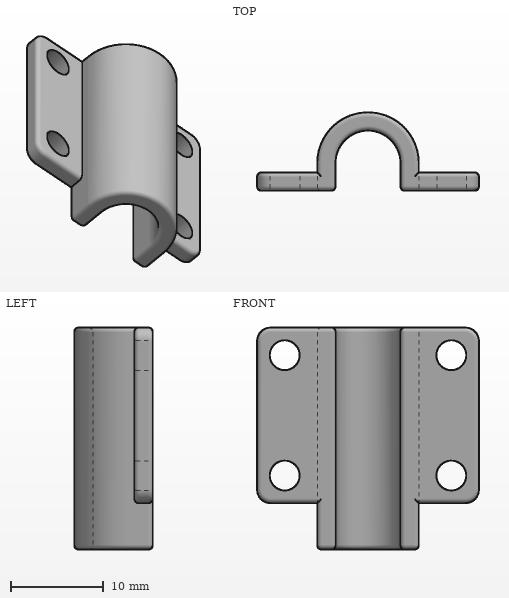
import cadquery as cq

height = 24.0
flange_width = 24.0
flange_height = 19.0
flange_thickness = 2.0
corner_radius = 1.5
bore_radius = 3.5
wall = 2.0
outer_radius = bore_radius + wall
axis_height = 3.0
edge_radius = 0.5

hole_diameter = 3.2
hole_edge_distance = 3.0

top_z = height / 2
flange_bottom_z = top_z - flange_height
flange_mid_z = (top_z + flange_bottom_z) / 2
hole_spacing_x = flange_width - 2 * hole_edge_distance
hole_spacing_z = flange_height - 2 * hole_edge_distance


def arch(radius):
    """Full-height U-shaped prism standing on the mounting face (Y = 0)."""
    return (
        cq.Workplane("XY", origin=(0, 0, -height / 2))
        .moveTo(-radius, 0)
        .lineTo(-radius, axis_height)
        .threePointArc((0, axis_height + radius), (radius, axis_height))
        .lineTo(radius, 0)
        .close()
        .extrude(height)
    )


def flange():
    """Flat plate with rounded corners, lying on the mounting face."""
    return (
        cq.Workplane("XZ", origin=(0, 0, flange_mid_z))
        .rect(flange_width, flange_height)
        .extrude(-flange_thickness)
        .edges("|Y")
        .fillet(corner_radius)
    )


def mounting_holes():
    """Four straight holes through the flanges."""
    return (
        cq.Workplane("XZ", origin=(0, 0, flange_mid_z))
        .rect(hole_spacing_x, hole_spacing_z, forConstruction=True)
        .vertices()
        .circle(hole_diameter / 2)
        .extrude(-flange_thickness)
    )


def round_edges(solid):
    """Round every outside edge and leave the inside corners sharp.

    The picked edges bound the end faces and the mounting face; the rounding
    runs on from them around the flange corners to the back of the flanges.
    """
    return solid.faces("<Z or >Z or <Y").edges().fillet(edge_radius)


clamp_body = arch(outer_radius).union(flange()).cut(arch(bore_radius))
result = round_edges(clamp_body).cut(mounting_holes())